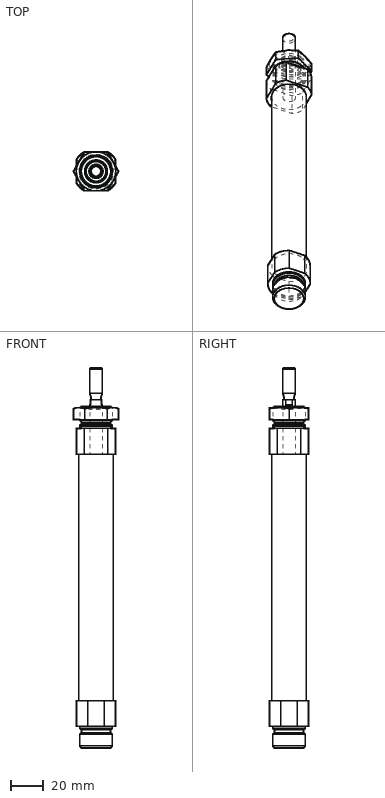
import cadquery as cq
import math

TOTAL_LENGTH = 233.0
REAR_CAP_BOTTOM = 13.3
CAP_HEIGHT = 15.9
REAR_CAP_TOP = REAR_CAP_BOTTOM + CAP_HEIGHT
FRONT_CAP_TOP = 195.8
FRONT_CAP_BOTTOM = FRONT_CAP_TOP - CAP_HEIGHT
COLLAR_TOP = 209.3

TUBE_DIAMETER = 21.2
CAP_ACROSS_FLATS = 24.0
FRONT_CAP_DIAMETER = 28.0
REAR_CAP_DIAMETER = 26.0

THREAD_RADIUS = 20.0 / 2
GROOVE_RADIUS = 18.0 / 2
COLLAR_CHAMFER = THREAD_RADIUS - GROOVE_RADIUS
REAR_THREAD_CHAMFER = 1.5
REAR_THREAD_TOP = 8.5
REAR_GROOVE_BOTTOM = 9.5
REAR_GROOVE_TOP = 11.2
REAR_SHOULDER_BOTTOM = 12.1
FRONT_SHOULDER_TOP = 197.7
FRONT_SHOULDER_EDGE = 197.2
FRONT_GROOVE_BOTTOM = 198.5
FRONT_GROOVE_TOP = 199.8

SEAT_DIAMETER = 12.1
SEAT_CHAMFER = 1.0
SEAT_DEPTH = 1.2
GUIDE_DIAMETER = 8.6
GUIDE_DEPTH = 1.9

ROD_DIAMETER = 8.0
ROD_BOTTOM = FRONT_CAP_BOTTOM
ROD_TIP_CHAMFER = 1.0
NECK_DIAMETER = 6.3
NECK_BOTTOM = 213.5
NECK_TOP = 215.0
NECK_CONE_TOP = 217.5
ROD_ACROSS_FLATS = 6.8
ROD_FLAT_BOTTOM = 210.5

NUT_ACROSS_FLATS = 24.0
NUT_ACROSS_CORNERS = NUT_ACROSS_FLATS / math.cos(math.pi / 6)
NUT_BOTTOM = 201.2
NUT_TOP = 208.6
NUT_CHAMFER_HEIGHT = 0.7


def disc(diameter, bottom, top):
    """Cylinder on the Z axis between two heights."""
    return cq.Workplane("XY").workplane(offset=bottom).circle(diameter / 2).extrude(top - bottom)


def revolve_profile(points):
    """Solid of revolution about Z from (radius, height) points."""
    return cq.Workplane("XZ").polyline(points).close().revolve(360, (0, 0, 0), (0, 1, 0))


def end_cap(diameter, bottom):
    """Round cap with four flats."""
    square = (
        cq.Workplane("XY")
        .workplane(offset=bottom)
        .rect(CAP_ACROSS_FLATS, CAP_ACROSS_FLATS)
        .extrude(CAP_HEIGHT)
    )
    return disc(diameter, bottom, bottom + CAP_HEIGHT).intersect(square)


def rear_collar():
    """Rear thread, chamfered at both ends, with a groove below the cap."""
    return revolve_profile([
        (0, 0),
        (GROOVE_RADIUS, 0),
        (THREAD_RADIUS, REAR_THREAD_CHAMFER),
        (THREAD_RADIUS, REAR_THREAD_TOP),
        (GROOVE_RADIUS, REAR_GROOVE_BOTTOM),
        (GROOVE_RADIUS, REAR_GROOVE_TOP),
        (THREAD_RADIUS, REAR_SHOULDER_BOTTOM),
        (THREAD_RADIUS, REAR_CAP_BOTTOM),
        (0, REAR_CAP_BOTTOM),
    ])


def front_collar():
    """Front thread above a groove and a tapered shoulder."""
    return revolve_profile([
        (0, FRONT_CAP_TOP),
        (GROOVE_RADIUS, FRONT_CAP_TOP),
        (THREAD_RADIUS, FRONT_SHOULDER_EDGE),
        (THREAD_RADIUS, FRONT_SHOULDER_TOP),
        (GROOVE_RADIUS, FRONT_GROOVE_BOTTOM),
        (GROOVE_RADIUS, FRONT_GROOVE_TOP),
        (THREAD_RADIUS, FRONT_GROOVE_TOP + COLLAR_CHAMFER),
        (THREAD_RADIUS, COLLAR_TOP - COLLAR_CHAMFER),
        (GROOVE_RADIUS, COLLAR_TOP),
        (0, COLLAR_TOP),
    ])


def rod_seat():
    """Stepped opening around the rod, with the rod bore below it."""
    seat_radius = SEAT_DIAMETER / 2
    guide_radius = GUIDE_DIAMETER / 2
    bore_radius = ROD_DIAMETER / 2
    seat_floor = COLLAR_TOP - SEAT_DEPTH
    guide_floor = COLLAR_TOP - GUIDE_DEPTH
    return revolve_profile([
        (0, ROD_BOTTOM),
        (bore_radius, ROD_BOTTOM),
        (bore_radius, guide_floor),
        (guide_radius, guide_floor),
        (guide_radius, seat_floor),
        (seat_radius, seat_floor),
        (seat_radius, COLLAR_TOP - SEAT_CHAMFER),
        (seat_radius + SEAT_CHAMFER, COLLAR_TOP),
        (0, COLLAR_TOP),
    ])


def make_housing():
    """Tube, both caps and both collars as one body."""
    return (
        disc(TUBE_DIAMETER, REAR_CAP_TOP, FRONT_CAP_BOTTOM)
        .union(end_cap(REAR_CAP_DIAMETER, REAR_CAP_BOTTOM))
        .union(end_cap(FRONT_CAP_DIAMETER, FRONT_CAP_BOTTOM))
        .union(rear_collar())
        .union(front_collar())
        .cut(rod_seat())
    )


def make_rod():
    """Piston rod with a chamfered tip, a neck and two wrench flats facing X."""
    rod_radius = ROD_DIAMETER / 2
    neck_radius = NECK_DIAMETER / 2
    rod = revolve_profile([
        (0, ROD_BOTTOM),
        (rod_radius, ROD_BOTTOM),
        (rod_radius, NECK_BOTTOM),
        (neck_radius, NECK_BOTTOM),
        (neck_radius, NECK_TOP),
        (rod_radius, NECK_CONE_TOP),
        (rod_radius, TOTAL_LENGTH - ROD_TIP_CHAMFER),
        (rod_radius - ROD_TIP_CHAMFER, TOTAL_LENGTH),
        (0, TOTAL_LENGTH),
    ])
    flat_band = disc(ROD_DIAMETER, ROD_FLAT_BOTTOM, NECK_BOTTOM)
    kept_core = (
        cq.Workplane("XY")
        .workplane(offset=ROD_FLAT_BOTTOM)
        .rect(ROD_ACROSS_FLATS, ROD_DIAMETER)
        .extrude(NECK_BOTTOM - ROD_FLAT_BOTTOM)
    )
    return rod.cut(flat_band.cut(kept_core))


def make_nut():
    """Hexagon nut with corners on X and its top corners chamfered."""
    hexagon = (
        cq.Workplane("XY")
        .workplane(offset=NUT_BOTTOM)
        .polygon(6, NUT_ACROSS_CORNERS)
        .extrude(NUT_TOP - NUT_BOTTOM)
    )
    corner_radius = NUT_ACROSS_CORNERS / 2
    chamfer_envelope = revolve_profile([
        (0, NUT_BOTTOM),
        (corner_radius, NUT_BOTTOM),
        (corner_radius, NUT_TOP - NUT_CHAMFER_HEIGHT),
        (NUT_ACROSS_FLATS / 2, NUT_TOP),
        (0, NUT_TOP),
    ])
    return hexagon.intersect(chamfer_envelope)


rod = make_rod()
housing = make_housing()
nut = make_nut().cut(front_collar())

result = cq.Compound.makeCompound([housing.val(), rod.val(), nut.val()])